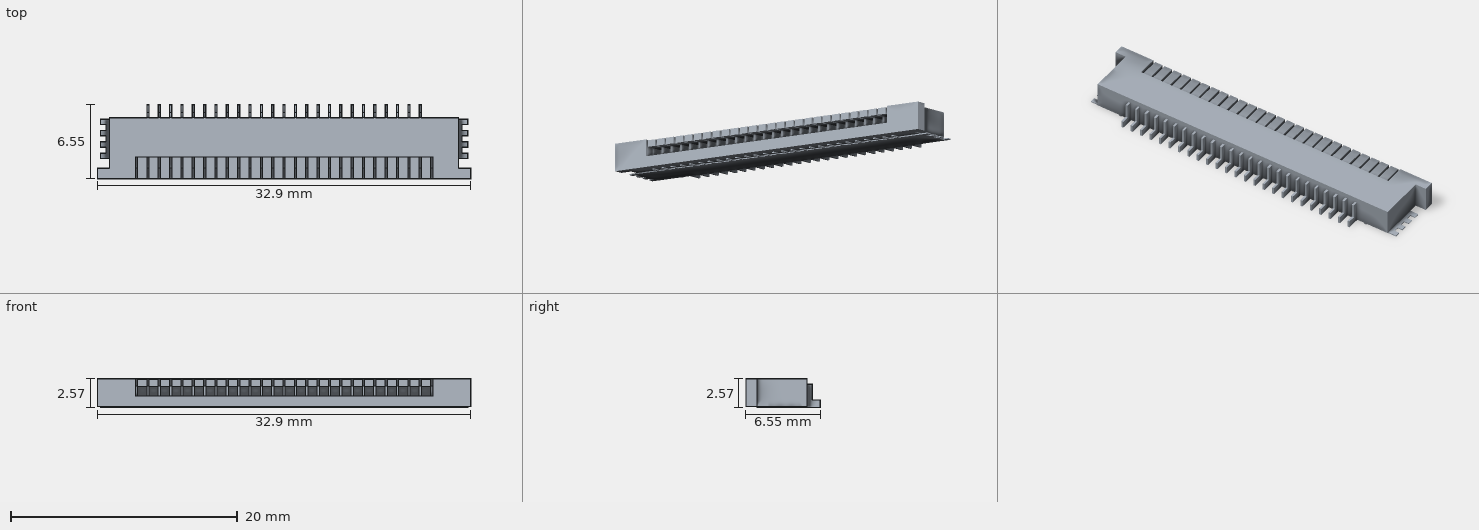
import cadquery as cq

LENGTH = 32.92
HEIGHT = 2.57
UNDERSIDE = 0.1
BODY_LENGTH = 30.78
BODY_DEPTH = 5.4
WING_DEPTH = 0.95

SLOT_COUNT = 27
TAB_COUNT = SLOT_COUNT - 1
LEAD_COUNT = SLOT_COUNT - 2
SLOT_ROW_LENGTH = 26.0
PITCH = SLOT_ROW_LENGTH / TAB_COUNT
CONTACT_WIDTH = 0.2

OPENING_LENGTH = SLOT_ROW_LENGTH + CONTACT_WIDTH
OPENING_FLOOR = 1.05
OPENING_DEPTH = 1.9
TAB_WIDTH = PITCH - CONTACT_WIDTH
TAB_DROP = 0.1
TAB_TOP = HEIGHT - TAB_DROP
TAB_BOTTOM = 1.88

CONTACT_FRONT = WING_DEPTH
BLADE_RISE = 0.03
CONTACT_TOP = TAB_BOTTOM + BLADE_RISE
SHOULDER_TOP = 2.07
SHOULDER_REAR = 5.85
FOOT_TOP = 0.7
FOOT_REAR = 6.55

PLATE_LENGTH = 32.4
PLATE_ROOT_LENGTH = 31.4
PLATE_FRONT = 1.78
TOOTH_COUNT = 4
TOOTH_WIDTH = 0.5


def block(x_range, y_range, z_range):
    """Box between the given limits along each axis."""
    sizes = [high - low for low, high in (x_range, y_range, z_range)]
    corner = (x_range[0], y_range[0], z_range[0])
    return cq.Workplane("XY").box(*sizes, centered=False).translate(corner)


def centred(width):
    """Limits of a span of the given width about zero."""
    return -width / 2, width / 2


def in_row(shape, count):
    """Copies of a shape standing on x = 0, spread along X at the contact pitch."""
    first_x = -(count - 1) / 2 * PITCH
    copies = [shape.val().translate(cq.Vector(first_x + i * PITCH, 0, 0)) for i in range(count)]
    return cq.Workplane(cq.Compound.makeCompound(copies))


def make_housing():
    height_range = (UNDERSIDE, HEIGHT)
    body = block(centred(BODY_LENGTH), (0, BODY_DEPTH), height_range)
    wings = block(centred(LENGTH), (0, WING_DEPTH), height_range)
    opening = block(centred(OPENING_LENGTH), (0, OPENING_DEPTH), (OPENING_FLOOR, HEIGHT))
    return body.union(wings).cut(opening)


def make_tab():
    return block(centred(TAB_WIDTH), (0, OPENING_DEPTH), (TAB_BOTTOM, TAB_TOP))


def make_contact():
    return block(centred(CONTACT_WIDTH), (CONTACT_FRONT, BODY_DEPTH), (0, CONTACT_TOP))


def make_lead():
    x_range = centred(CONTACT_WIDTH)
    shoulder = block(x_range, (BODY_DEPTH, SHOULDER_REAR), (0, SHOULDER_TOP))
    foot = block(x_range, (BODY_DEPTH, FOOT_REAR), (0, FOOT_TOP))
    return shoulder.union(foot)


def make_anchor_plate():
    z_range = (0, UNDERSIDE)
    plate_rear = PLATE_FRONT + (TOOTH_COUNT - 1) * PITCH + TOOTH_WIDTH
    plate = block(centred(PLATE_ROOT_LENGTH), (PLATE_FRONT, plate_rear), z_range)
    for i in range(TOOTH_COUNT):
        tooth_front = PLATE_FRONT + i * PITCH
        tooth_range = (tooth_front, tooth_front + TOOTH_WIDTH)
        plate = plate.union(block(centred(PLATE_LENGTH), tooth_range, z_range))
    return plate


connector = (
    make_housing()
    .union(in_row(make_tab(), TAB_COUNT))
    .union(in_row(make_contact(), SLOT_COUNT))
    .union(in_row(make_lead(), LEAD_COUNT))
    .union(make_anchor_plate())
)
result = connector.solids()